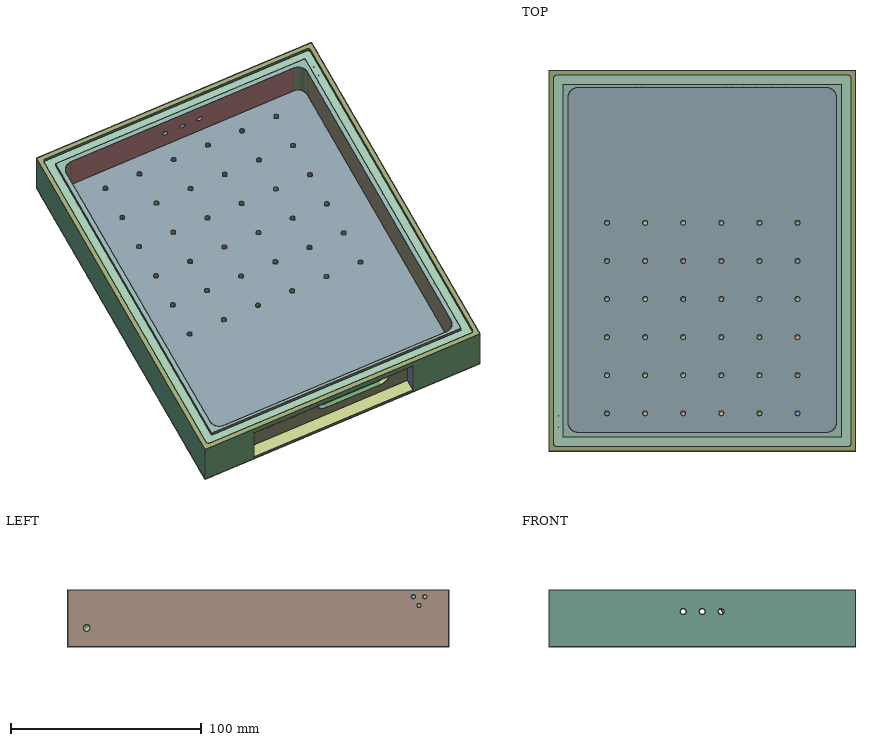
import cadquery as cq
import math

length_x = 161.0
length_y = 200.0
height = 30.0
wall = 10.0
back_wall = 9.0
floor_thickness = 7.0
cavity_corner_radius = 5.5
left_face_x = -length_x / 2
front_face_y = -length_y / 2
back_face_y = length_y / 2

rim_width = wall / 4
groove_width = wall / 2
groove_depth = 2.0
groove_corner_radius = 1.5

drill_point_angle = 118.0

grid_count = 6
grid_pitch = 20.0
grid_center_y = -30.0
grid_hole_diameter = 2.5
grid_hole_depth = 4.0

front_hole_diameter = 3.0
front_hole_pitch = 10.0
front_hole_z = 18.5

panel_thickness = 2.5
recess_side_margin = 8.0
recess_bottom = 2.0
recess_top = 26.0
connector_x = -9.5
connector_z = 15.0
connector_width = 41.5
connector_height = 12.0
connector_corner_radius = 5.0
screw_pitch = 47.2
screw_hole_diameter = 2.8
port_xs = (25.0, 40.5)
port_diameter = 7.0
port_z = 16.8

triangle_y = -84.5
triangle_pitch = 6.0
triangle_top_z = 26.5
triangle_bottom_z = 21.8
triangle_hole_diameter = 2.2
triangle_hole_depth = 5.0
corner_hole_y = 90.0
corner_hole_z = 10.0
corner_hole_diameter = 3.5
corner_hole_depth = 5.0


def inset_block(inset, bottom):
    """Block from bottom to the top of the tray, with the outline moved inward by inset."""
    block = cq.Workplane("XY").box(
        length_x - 2 * inset, length_y - 2 * inset, height - bottom, centered=(True, True, False)
    )
    return block.translate((0, 0, bottom))


def drill(entry, direction, diameter, depth):
    """Cutter for a blind hole: a cylinder of the given depth and a drill point beyond it."""
    radius = diameter / 2
    point_length = radius / math.tan(math.radians(drill_point_angle / 2))
    start = cq.Vector(*entry)
    heading = cq.Vector(*direction)
    cylinder = cq.Solid.makeCylinder(radius, depth, start, heading)
    point = cq.Solid.makeCone(radius, 0, point_length, start + heading * depth, heading)
    return cq.Workplane(cylinder.fuse(point))


def hole_along_y(x, z, diameter, outer_y, depth):
    """Cutter running inward from the front or back face at outer_y."""
    inward = -math.copysign(1, outer_y)
    return cq.Workplane(
        cq.Solid.makeCylinder(diameter / 2, depth, cq.Vector(x, outer_y, z), cq.Vector(0, inward, 0))
    )


tray = inset_block(0, 0)
cavity_length_y = length_y - wall - back_wall
cavity = (
    cq.Workplane("XY")
    .box(length_x - 2 * wall, cavity_length_y, height - floor_thickness, centered=(True, False, False))
    .edges("|Z")
    .fillet(cavity_corner_radius)
    .translate((0, front_face_y + wall, floor_thickness))
)
tray = tray.cut(cavity)

groove_bottom = height - groove_depth
groove_outside = inset_block(rim_width, groove_bottom).edges("|Z").fillet(groove_corner_radius)
groove_inside = inset_block(rim_width + groove_width, groove_bottom)
tray = tray.cut(groove_outside.cut(groove_inside))

for column in range(grid_count):
    for row in range(grid_count):
        hole_x = (column - (grid_count - 1) / 2) * grid_pitch
        hole_y = (row - (grid_count - 1) / 2) * grid_pitch + grid_center_y
        entry = (hole_x, hole_y, floor_thickness)
        tray = tray.cut(drill(entry, (0, 0, -1), grid_hole_diameter, grid_hole_depth))

for step in (-1, 0, 1):
    hole_x = step * front_hole_pitch
    tray = tray.cut(hole_along_y(hole_x, front_hole_z, front_hole_diameter, front_face_y, wall))

screw_xs = [connector_x + side * screw_pitch / 2 for side in (-1, 1)]
recess_left = min(screw_xs) - recess_side_margin
recess_right = max(port_xs) + port_diameter / 2 + recess_side_margin
recess_depth = back_wall - panel_thickness
recess = cq.Workplane("XY").box(
    recess_right - recess_left, recess_depth, recess_top - recess_bottom, centered=False
)
tray = tray.cut(recess.translate((recess_left, back_face_y - recess_depth, recess_bottom)))

connector = (
    cq.Workplane("XY")
    .box(connector_width, back_wall, connector_height, centered=(True, False, True))
    .edges("|Y")
    .fillet(connector_corner_radius)
    .translate((connector_x, back_face_y - back_wall, connector_z))
)
tray = tray.cut(connector)
for screw_x in screw_xs:
    tray = tray.cut(hole_along_y(screw_x, connector_z, screw_hole_diameter, back_face_y, back_wall))
for port_x in port_xs:
    tray = tray.cut(hole_along_y(port_x, port_z, port_diameter, back_face_y, back_wall))

triangle_points = [
    (triangle_y - triangle_pitch / 2, triangle_top_z),
    (triangle_y + triangle_pitch / 2, triangle_top_z),
    (triangle_y, triangle_bottom_z),
]
for hole_y, hole_z in triangle_points:
    entry = (left_face_x, hole_y, hole_z)
    tray = tray.cut(drill(entry, (1, 0, 0), triangle_hole_diameter, triangle_hole_depth))
corner_entry = (left_face_x, corner_hole_y, corner_hole_z)
tray = tray.cut(drill(corner_entry, (1, 0, 0), corner_hole_diameter, corner_hole_depth))

result = tray